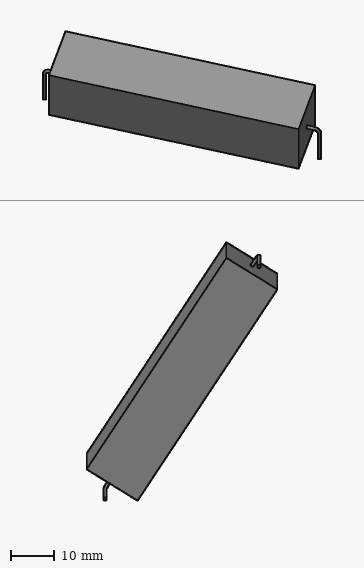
import cadquery as cq

body_length = 60.0
body_width = 14.0
body_height = 14.0

lead_diameter = 0.8
lead_pitch = 66.04
lead_exit_height = body_height / 2
lead_drop = 3.0
bend_radius = 1.2
lead_embed = 1.0


def make_body():
    return cq.Workplane("XY").box(
        body_length, body_width, body_height, centered=(True, True, False)
    )


def make_right_lead():
    """Wire leaving the +X end face horizontally, then bending down."""
    start_x = body_length / 2 - lead_embed
    drop_x = lead_pitch / 2
    center_line = (
        cq.Workplane("XZ")
        .moveTo(start_x, lead_exit_height)
        .lineTo(drop_x - bend_radius, lead_exit_height)
        .tangentArcPoint((drop_x, lead_exit_height - bend_radius), relative=False)
        .lineTo(drop_x, -lead_drop)
    )
    return (
        cq.Workplane("YZ", origin=(start_x, 0, lead_exit_height))
        .circle(lead_diameter / 2)
        .sweep(center_line)
    )


right_lead = make_right_lead()
left_lead = right_lead.mirror("YZ")

result = make_body().union(right_lead).union(left_lead)